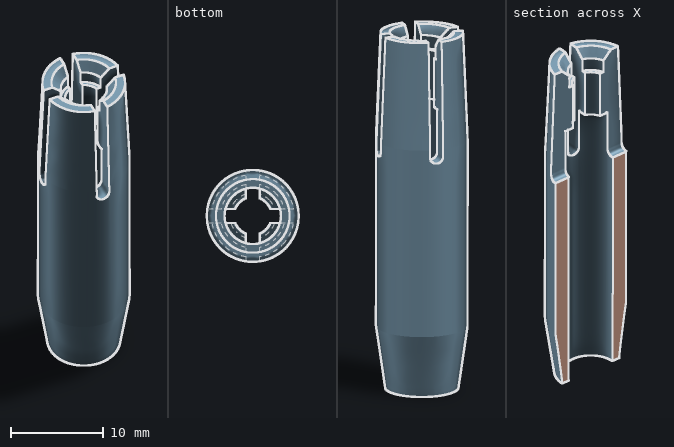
import cadquery as cq

total_height = 40.0
tail_taper_height = 7.0
collet_taper_height = 12.0

body_radius = 5.0
tail_radius = 4.0
collet_tip_radius = 4.5

main_bore_radius = 3.05
lip_radius = 2.05
mouth_radius = 2.5
flare_radius = 3.5
flare_depth = 1.0
mouth_depth = 2.5
lip_depth = 8.0

slot_width = 1.5
slot_depth = 13.5


def revolve_profile(points):
    """Revolve an (r, z) outline about the Z axis."""
    return cq.Workplane("XZ").polyline(points).close().revolve(360, (0, 0, 0), (0, 1, 0))


def make_sleeve():
    """Tapered outer body with its stepped bore."""
    return revolve_profile([
        (main_bore_radius, 0),
        (tail_radius, 0),
        (body_radius, tail_taper_height),
        (body_radius, total_height - collet_taper_height),
        (collet_tip_radius, total_height),
        (flare_radius, total_height),
        (mouth_radius, total_height - flare_depth),
        (mouth_radius, total_height - mouth_depth),
        (lip_radius, total_height - mouth_depth),
        (lip_radius, total_height - lip_depth),
        (main_bore_radius, total_height - lip_depth),
    ])


def make_slot(plane):
    """Round-bottomed slot running across the whole diameter, open at the top."""
    half_width = slot_width / 2
    slot_floor = total_height - slot_depth
    return (
        cq.Workplane(plane)
        .moveTo(-half_width, total_height)
        .lineTo(-half_width, slot_floor + half_width)
        .threePointArc((0, slot_floor), (half_width, slot_floor + half_width))
        .lineTo(half_width, total_height)
        .close()
        .extrude(body_radius, both=True)
    )


result = make_sleeve()
for slot_plane in ("XZ", "YZ"):
    result = result.cut(make_slot(slot_plane))